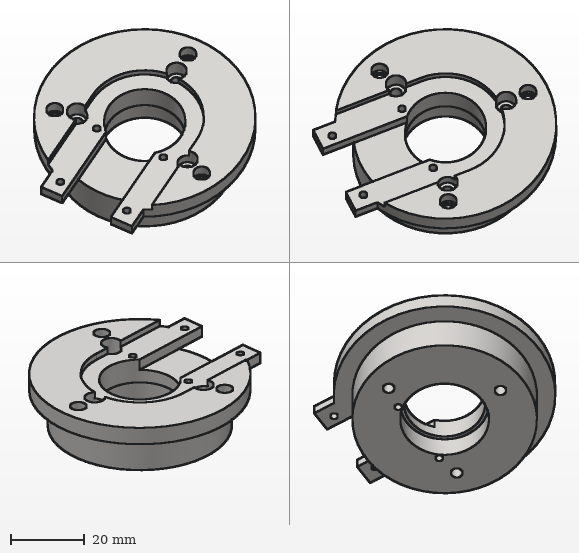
import cadquery as cq
import math

TOTAL_HEIGHT = 16.0
FLANGE_THICKNESS = 5.1
FLANGE_DIAMETER = 60.0
BODY_DIAMETER = 50.0
BORE_DIAMETER = 22.0
LOWER_BORE_DIAMETER = 24.0
LOWER_BORE_HEIGHT = 7.0

RECESS_WIDTH = 32.0
RECESS_DEPTH = 1.9

ARM_INNER_X = 7.5
ARM_OUTER_X = 14.0
ARM_END_Y = -33.0
ARM_HOLE_DIAMETER = 2.0
ARM_HOLE_X = 10.25
ARM_HOLE_INNER_Y = -8.3
ARM_HOLE_OUTER_Y = -29.0

HOLE_ANGLES = (90.0, 202.5, -22.5)
SCREW_CIRCLE_RADII = (18.0, 18.4, 18.4)
SCREW_DIAMETER = 3.1
SCREW_HEAD_DIAMETER = 5.5
SCREW_HEAD_DEPTH = 4.9
BLIND_CIRCLE_RADIUS = 24.5
BLIND_DIAMETER = 4.5
BLIND_DEPTH = 3.5
BLIND_TIP_DIAMETER = 3.0
BLIND_TIP_DEPTH = 4.5

FLANGE_BOTTOM = TOTAL_HEIGHT - FLANGE_THICKNESS
RECESS_FLOOR = TOTAL_HEIGHT - RECESS_DEPTH
RECESS_RADIUS = RECESS_WIDTH / 2
FLANGE_RADIUS = FLANGE_DIAMETER / 2


def cylinder(diameter, bottom, top, x=0.0, y=0.0):
    """Upright cylinder between two Z levels."""
    return cq.Workplane("XY", origin=(x, y, bottom)).circle(diameter / 2).extrude(top - bottom)


def block(x_min, x_max, y_min, y_max, bottom, top):
    """Axis-aligned block given by its limits."""
    size = (x_max - x_min, y_max - y_min, top - bottom)
    return cq.Workplane("XY", origin=(x_min, y_min, bottom)).box(*size, centered=False)


def polar(radius, angle):
    """X and Y of a point at a radius and an angle in degrees."""
    return radius * math.cos(math.radians(angle)), radius * math.sin(math.radians(angle))


def make_flange():
    """Disc with a U-shaped recess, two arms and an open slot between them."""
    flange = cylinder(FLANGE_DIAMETER, FLANGE_BOTTOM, TOTAL_HEIGHT)
    for side in (-1, 1):
        x_min, x_max = sorted((side * ARM_INNER_X, side * ARM_OUTER_X))
        flange = flange.union(block(x_min, x_max, ARM_END_Y, 0, FLANGE_BOTTOM, RECESS_FLOOR))
    recess = cylinder(RECESS_WIDTH, RECESS_FLOOR, TOTAL_HEIGHT).union(
        block(-RECESS_RADIUS, RECESS_RADIUS, -FLANGE_RADIUS, 0, RECESS_FLOOR, TOTAL_HEIGHT)
    )
    slot = block(-ARM_INNER_X, ARM_INNER_X, -FLANGE_RADIUS, 0, FLANGE_BOTTOM, TOTAL_HEIGHT)
    return flange.cut(recess).cut(slot)


def make_body():
    """Round body below the flange."""
    return cylinder(BODY_DIAMETER, 0, FLANGE_BOTTOM)


def cut_bore(part):
    """Central bore, slightly wider in its lower part."""
    part = part.cut(cylinder(BORE_DIAMETER, 0, TOTAL_HEIGHT))
    return part.cut(cylinder(LOWER_BORE_DIAMETER, 0, LOWER_BORE_HEIGHT))


def cut_screw_holes(part):
    """Through holes with counterbores that break into the recess wall."""
    for radius, angle in zip(SCREW_CIRCLE_RADII, HOLE_ANGLES):
        x, y = polar(radius, angle)
        part = part.cut(cylinder(SCREW_DIAMETER, 0, TOTAL_HEIGHT, x, y))
        part = part.cut(
            cylinder(SCREW_HEAD_DIAMETER, TOTAL_HEIGHT - SCREW_HEAD_DEPTH, TOTAL_HEIGHT, x, y)
        )
    return part


def cut_blind_holes(part):
    """Stepped blind holes near the rim."""
    for angle in HOLE_ANGLES:
        x, y = polar(BLIND_CIRCLE_RADIUS, angle)
        part = part.cut(cylinder(BLIND_DIAMETER, TOTAL_HEIGHT - BLIND_DEPTH, TOTAL_HEIGHT, x, y))
        part = part.cut(
            cylinder(BLIND_TIP_DIAMETER, TOTAL_HEIGHT - BLIND_TIP_DEPTH, TOTAL_HEIGHT, x, y)
        )
    return part


def cut_arm_holes(part):
    """Two small through holes along each arm."""
    for x in (-ARM_HOLE_X, ARM_HOLE_X):
        for y in (ARM_HOLE_INNER_Y, ARM_HOLE_OUTER_Y):
            part = part.cut(cylinder(ARM_HOLE_DIAMETER, 0, TOTAL_HEIGHT, x, y))
    return part


result = make_body().union(make_flange())
result = cut_bore(result)
result = cut_screw_holes(result)
result = cut_blind_holes(result)
result = cut_arm_holes(result)